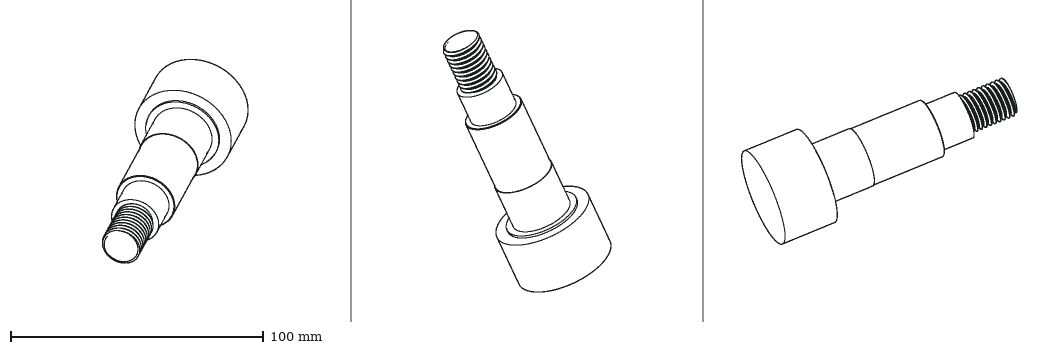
import cadquery as cq
import math

head_diameter = 40.0
head_length = 23.0
collar_diameter = 30.3
collar_length = 1.0
neck_diameter = 24.7
neck_length = 19.0
shoulder_diameter = 24.2
shoulder_length = 31.0
shoulder_chamfer = 0.3
spigot_diameter = 19.6
spigot_length = 14.0

thread_length = 20.0
thread_pitch = 2.0
crest_diameter = 15.82
root_diameter = 13.53
crest_width = thread_pitch / 8
flank_half_angle = 30.0
thread_start_angle = -90.0
ridge_overlap = 0.1


def cylinder(diameter, start, length):
    """Cylinder on the axis, built upwards along Z from start."""
    return cq.Workplane("XY").workplane(offset=start).circle(diameter / 2).extrude(length)


def stepped_body():
    """Plain cylinders stacked from the spigot up to the head."""
    spigot_start = thread_length
    shoulder_start = spigot_start + spigot_length
    neck_start = shoulder_start + shoulder_length
    collar_start = neck_start + neck_length
    head_start = collar_start + collar_length

    spigot = cylinder(spigot_diameter, spigot_start, spigot_length)
    shoulder = cylinder(shoulder_diameter, shoulder_start, shoulder_length)
    shoulder = shoulder.faces("<Z").chamfer(shoulder_chamfer)
    neck = cylinder(neck_diameter, neck_start, neck_length)
    collar = cylinder(collar_diameter, collar_start, collar_length)
    head = cylinder(head_diameter, head_start, head_length)
    return spigot.union(shoulder).union(neck).union(collar).union(head)


def thread_ridge():
    """Helical ridge, one pitch longer than the thread at each end."""
    crest_radius = crest_diameter / 2
    base_radius = root_diameter / 2 - ridge_overlap
    half_crest = crest_width / 2
    flank_rise = (crest_radius - base_radius) * math.tan(math.radians(flank_half_angle))
    half_base = half_crest + flank_rise
    helix_length = thread_length + 2 * thread_pitch
    helix = cq.Wire.makeHelix(thread_pitch, helix_length, base_radius)
    ridge = (
        cq.Workplane("XZ")
        .moveTo(base_radius, -half_base)
        .lineTo(crest_radius, -half_crest)
        .lineTo(crest_radius, half_crest)
        .lineTo(base_radius, half_base)
        .close()
        .sweep(cq.Workplane(obj=helix), isFrenet=True)
    )
    ridge = ridge.translate((0, 0, -thread_pitch))
    return ridge.rotate((0, 0, 0), (0, 0, 1), thread_start_angle)


def threaded_end():
    """Thread core and ridge together, trimmed flush at both ends."""
    core_margin = 2 * thread_pitch
    core = cylinder(root_diameter, -core_margin, thread_length + 2 * core_margin)
    trim = cylinder(spigot_diameter, 0, thread_length)
    return core.union(thread_ridge()).intersect(trim)


upright = stepped_body().union(threaded_end())
result = upright.rotate((0, 0, 0), (1, 0, 0), -90)